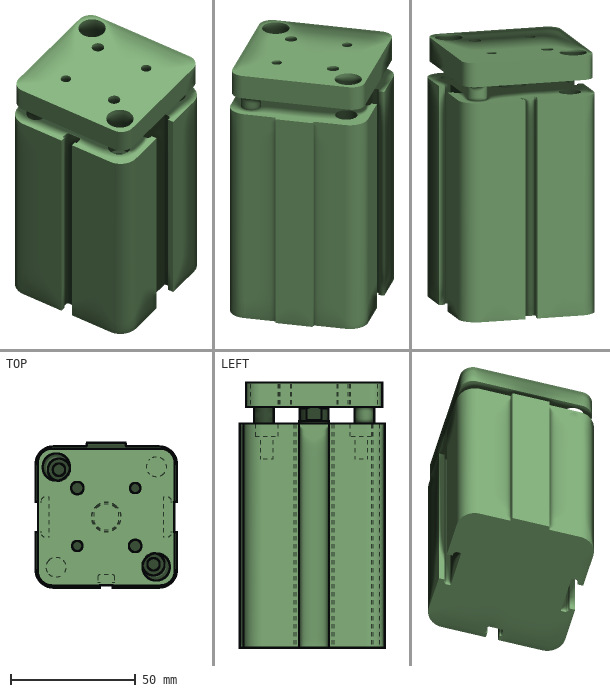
import cadquery as cq

housing_width = 57.0
housing_height = 90.5
housing_corner_radius = 7.5
half_width = housing_width / 2

rail_height = 1.5
rail_base_width = 16.2
rail_top_width = 15.4

side_slot_opening = 12.1
side_slot_lip = 2.5
side_slot_undercut = 2.0
side_slot_depth = 5.5
side_slot_bevel = 0.9

front_slot_opening = 5.1
front_slot_lip = 2.1
front_slot_undercut = 0.7
front_slot_depth = 5.4
front_slot_bevel = 0.5

screw_offset = 19.0
screw_hole_diameter = 5.0
screw_head_diameter = 9.0
screw_head_depth = 5.4
screw_hole_depth = 14.4

plate_gap = 6.5
plate_thickness = 10.0
plate_width = 55.0
plate_corner_radius = 5.4
plate_bottom = housing_height + plate_gap

access_hole_offset = 20.1
access_hole_diameter = 11.0

guide_rod_offset = 20.2
guide_rod_diameter = 8.0

plate_hole_offset = 11.7
dowel_hole_diameter = 5.0
threaded_hole_diameter = 4.2

piston_rod_diameter = 12.0
piston_rod_exposed = 0.9
piston_end_diameter = 11.7
piston_end_chamfer = 0.5
flat_width = 10.0
flat_start = 1.4


def rising_corners(offset):
    """Points on the diagonal from (-X, -Y) to (+X, +Y)."""
    return [(-offset, -offset), (offset, offset)]


def falling_corners(offset):
    """Points on the diagonal from (-X, +Y) to (+X, -Y)."""
    return [(-offset, offset), (offset, -offset)]


def rounded_block(width, height, radius):
    return cq.Workplane("XY").rect(width, width).extrude(height).edges("|Z").fillet(radius)


def rail():
    half_base = rail_base_width / 2
    half_top = rail_top_width / 2
    outline = [
        (-half_base, 0),
        (half_base, 0),
        (half_base, half_width),
        (half_top, half_width + rail_height),
        (-half_top, half_width + rail_height),
        (-half_base, half_width),
    ]
    return cq.Workplane("XY").polyline(outline).close().extrude(housing_height)


def slot_on_front(half_outline):
    """Full-height slot cutter on the -Y face, from (half width, depth) points on one side."""
    right = [(x, depth - half_width) for x, depth in half_outline]
    left = [(-x, y) for x, y in reversed(right)]
    return cq.Workplane("XY").polyline(right + left).close().extrude(housing_height)


def side_slot():
    """Undercut slot with its bevels next to the lips."""
    half_opening = side_slot_opening / 2
    half_inside = half_opening + side_slot_undercut
    return slot_on_front([
        (half_opening, 0),
        (half_opening, side_slot_lip),
        (half_inside - side_slot_bevel, side_slot_lip),
        (half_inside, side_slot_lip + side_slot_bevel),
        (half_inside, side_slot_depth),
    ])


def front_slot():
    """Undercut slot with its bevels next to the floor."""
    half_opening = front_slot_opening / 2
    half_inside = half_opening + front_slot_undercut
    return slot_on_front([
        (half_opening, 0),
        (half_opening, front_slot_lip),
        (half_inside, front_slot_lip),
        (half_inside, front_slot_depth - front_slot_bevel),
        (half_inside - front_slot_bevel, front_slot_depth),
    ])


def make_housing():
    body = rounded_block(housing_width, housing_height, housing_corner_radius).union(rail())
    body = body.cut(front_slot())
    for angle in (-90, 90):
        body = body.cut(side_slot().rotate((0, 0, 0), (0, 0, 1), angle))
    return (
        body.faces(">Z")
        .workplane(origin=(0, 0, housing_height))
        .pushPoints(falling_corners(screw_offset))
        .cboreHole(screw_hole_diameter, screw_head_diameter, screw_head_depth, screw_hole_depth)
    )


def end_plate():
    plate = rounded_block(plate_width, plate_thickness, plate_corner_radius)
    hole_groups = [
        (falling_corners(access_hole_offset), access_hole_diameter),
        (falling_corners(plate_hole_offset), dowel_hole_diameter),
        (rising_corners(plate_hole_offset), threaded_hole_diameter),
    ]
    for points, diameter in hole_groups:
        plate = plate.cut(
            cq.Workplane("XY").pushPoints(points).circle(diameter / 2).extrude(plate_thickness)
        )
    return plate.translate((0, 0, plate_bottom))


def guide_rods():
    return (
        cq.Workplane("XY", origin=(0, 0, housing_height))
        .pushPoints(rising_corners(guide_rod_offset))
        .circle(guide_rod_diameter / 2)
        .extrude(plate_gap)
    )


def piston_rod():
    """Piston rod with a slightly smaller, chamfered end that carries two wrench flats."""
    base = cq.Workplane("XY").circle(piston_rod_diameter / 2).extrude(piston_rod_exposed)
    end = (
        cq.Workplane("XY")
        .circle(piston_end_diameter / 2)
        .extrude(plate_gap)
        .faces(">Z")
        .chamfer(piston_end_chamfer)
    )
    between_flats = (
        cq.Workplane("XY", origin=(0, 0, flat_start))
        .rect(flat_width, piston_rod_diameter)
        .extrude(plate_gap - flat_start)
    )
    below_flats = cq.Workplane("XY").circle(piston_rod_diameter / 2).extrude(flat_start)
    end = end.intersect(between_flats.union(below_flats))
    return base.union(end).translate((0, 0, housing_height))


def make_moving_unit():
    return end_plate().union(guide_rods()).union(piston_rod())


housing = make_housing()
moving_unit = make_moving_unit()
result = cq.Compound.makeCompound([housing.val(), moving_unit.val()])